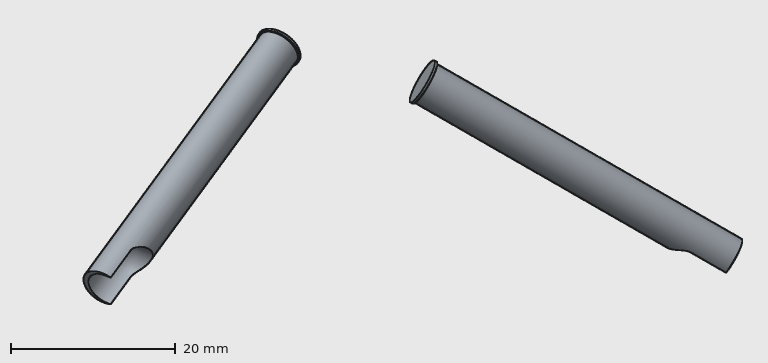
import cadquery as cq

total_length = 44.0
body_radius = 2.75
flange_radius = 2.95
flange_thickness = 0.35

cavity_radius = 2.5
cavity_offset = 0.5
cavity_straight_length = 5.0


def rod(radius, start, length):
    """Solid cylinder along +Y starting at y = start."""
    return cq.Workplane("XZ", origin=(0, start, 0)).circle(radius).extrude(-length)


def cavity_cutters():
    """Round trough with a ball end, and the opening that carries it through the +X wall."""
    ball_ended_trough = (
        cq.Workplane("XY", origin=(cavity_offset, 0, 0))
        .lineTo(cavity_radius, 0)
        .lineTo(cavity_radius, cavity_straight_length)
        .radiusArc((0, cavity_straight_length + cavity_radius), -cavity_radius)
        .close()
        .revolve(360, (0, 0, 0), (0, 1, 0))
    )
    side_opening = (
        cq.Workplane("YZ", origin=(cavity_offset, 0, 0))
        .moveTo(0, -cavity_radius)
        .lineTo(cavity_straight_length, -cavity_radius)
        .threePointArc(
            (cavity_straight_length + cavity_radius, 0),
            (cavity_straight_length, cavity_radius),
        )
        .lineTo(0, cavity_radius)
        .close()
        .extrude(flange_radius)
    )
    return ball_ended_trough, side_opening


body = rod(body_radius, 0, total_length)
flange = rod(flange_radius, total_length - flange_thickness, flange_thickness)
ball_ended_trough, side_opening = cavity_cutters()
result = body.union(flange).cut(ball_ended_trough).cut(side_opening)